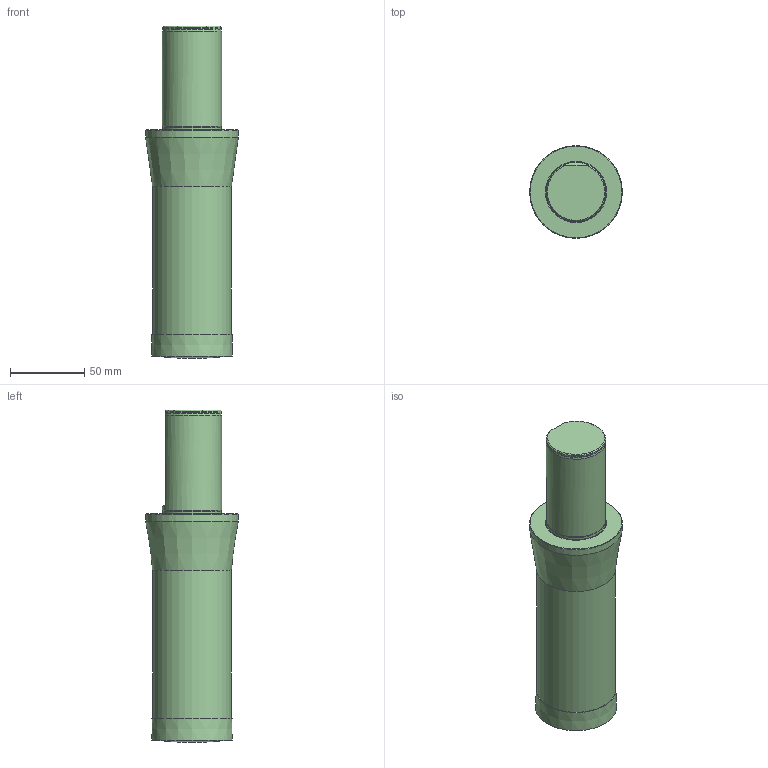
import cadquery as cq

total_height = 224.0
shank_length = 70.0
collar_face_z = total_height - shank_length

shank_radius = 39.99 / 2
relief_radius = 39.5 / 2
top_chamfer = 0.7
rim_bottom_depth = 1.7
top_groove_depth = 2.2
top_groove_end = 3.5
neck_height = 1.5
neck_run_out = 0.7
flat_distance = 18.0
flat_end_height = 6.5

undercut_radius = 20.6
undercut_depth = 0.3

collar_radius = 62.5 / 2
collar_height = 5.0
collar_chamfer = 0.3
body_radius = 53.2 / 2
flare_height = 33.2
flare_bottom_z = collar_face_z - collar_height - flare_height

cap_height = 16.0
cap_top_radius = 27.0
cap_bottom_radius = 27.3
end_cone_height = 1.3
end_flat_radius = 10.0


def make_holder():
    """Turned shank, collar, flare and straight body, with the flat cut along the shank."""
    collar_bottom_z = collar_face_z - collar_height
    neck_top_z = collar_face_z + neck_height
    undercut_z = collar_face_z - undercut_depth

    turned = (
        cq.Workplane("XZ")
        .moveTo(0, cap_height)
        .lineTo(body_radius, cap_height)
        .lineTo(body_radius, flare_bottom_z)
        .lineTo(collar_radius, collar_bottom_z)
        .lineTo(collar_radius, collar_face_z - collar_chamfer)
        .lineTo(collar_radius - collar_chamfer, collar_face_z)
        .lineTo(undercut_radius, collar_face_z)
        .lineTo(undercut_radius - undercut_depth, undercut_z)
        .lineTo(relief_radius, undercut_z)
        .lineTo(relief_radius, neck_top_z)
        .lineTo(shank_radius, neck_top_z + neck_run_out)
        .lineTo(shank_radius, total_height - top_groove_end)
        .lineTo(relief_radius, total_height - top_groove_depth)
        .lineTo(shank_radius, total_height - rim_bottom_depth)
        .lineTo(shank_radius, total_height - top_chamfer)
        .lineTo(shank_radius - top_chamfer, total_height)
        .lineTo(0, total_height)
        .close()
        .revolve(360, (0, 0, 0), (0, 1, 0))
    )
    return turned.cut(make_flat_cutter())


def make_flat_cutter():
    """Block on the +Y side of the shank whose lower face slopes out at 45 degrees."""
    flat_end_z = collar_face_z + flat_end_height
    outer_y = shank_radius
    run_out = outer_y - flat_distance
    return (
        cq.Workplane("YZ")
        .moveTo(flat_distance, total_height)
        .lineTo(flat_distance, flat_end_z)
        .lineTo(outer_y, flat_end_z - run_out)
        .lineTo(outer_y, total_height)
        .close()
        .extrude(shank_radius, both=True)
    )


def make_end_cap():
    """Slightly tapered cap below the body, closed by a shallow cone with a flat centre."""
    return (
        cq.Workplane("XZ")
        .moveTo(0, 0)
        .lineTo(end_flat_radius, 0)
        .lineTo(cap_bottom_radius, end_cone_height)
        .lineTo(cap_top_radius, cap_height)
        .lineTo(0, cap_height)
        .close()
        .revolve(360, (0, 0, 0), (0, 1, 0))
    )


holder = make_holder()
end_cap = make_end_cap()
result = cq.Compound.makeCompound([holder.val(), end_cap.val()])